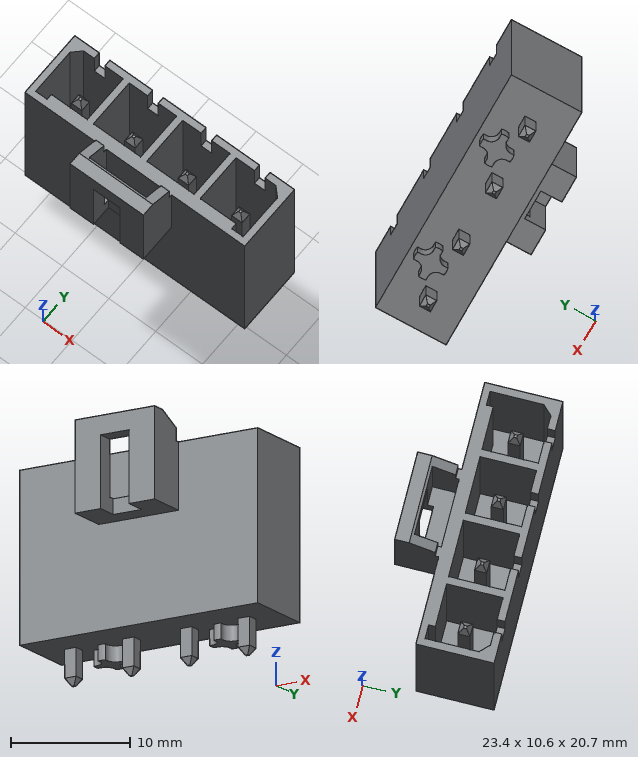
import cadquery as cq
import math


HOUSING_LENGTH = 23.45
HOUSING_HEIGHT = 15.35
HOUSING_BACK = 3.28
HOUSING_FRONT = -3.5

PIN_COUNT = 4
PITCH = 5.7
CAVITY_WIDTH = 5.05
CAVITY_BACK = 2.6
CAVITY_FRONT = -2.27
CAVITY_FLOOR = 3.28
END_CORNER_CUT = 0.8
KEY_WIDTH = 1.22
KEY_DEPTH = 0.59
SLOT_DEPTH = 2.35

PIN_WIDTH = 1.13
PIN_THICKNESS = 1.05
PIN_BOTTOM = -3.2
PIN_TOP = HOUSING_HEIGHT - 2.81
PIN_TIP_LENGTH = 0.65
PIN_TIP_SIZE = 0.25
SLOT_WIDTH = PIN_WIDTH

LATCH_WIDTH = 7.83
LATCH_REACH = 3.82
LATCH_FRONT = HOUSING_FRONT - LATCH_REACH
LATCH_TOP = HOUSING_HEIGHT + 2.18
LATCH_HEIGHT = 8.18
LATCH_BOTTOM = LATCH_TOP - LATCH_HEIGHT
LATCH_FLAT = 1.27
LATCH_SLOPE_DROP = 1.05
LATCH_GAP = 0.3
LATCH_POCKET_WIDTH = 6.07
LATCH_FRONT_WALL = 1.5
LATCH_FLOOR = 1.38
WINDOW_WIDTH = 2.8
WINDOW_DEPTH = 2.02
WINDOW_TOP = LATCH_TOP - 1.71

PEG_SPACING = 2 * PITCH
PEG_Y = 1.34
PEG_RADIUS = 1.5
PEG_HEIGHT = 1.4
PEG_ARM_HALF_WIDTH = 0.35
PEG_SCOOP_RADIUS = 0.8

PIN_POSITIONS = [(i - (PIN_COUNT - 1) / 2) * PITCH for i in range(PIN_COUNT)]


def block(x_range, y_range, z_range):
    """Box between the given limits."""
    (x0, x1), (y0, y1), (z0, z1) = x_range, y_range, z_range
    return cq.Workplane("XY").box(x1 - x0, y1 - y0, z1 - z0, centered=False).translate((x0, y0, z0))


def centred(width, middle=0.0):
    """Limits of a span of the given width about its middle."""
    return (middle - width / 2, middle + width / 2)


def cavity(x):
    """Open-topped cavity around a pin, with the slot through the back wall."""
    depth_range = (CAVITY_FLOOR, HOUSING_HEIGHT)
    space = block(centred(CAVITY_WIDTH, x), (CAVITY_FRONT, CAVITY_BACK), depth_range)

    if x in (PIN_POSITIONS[0], PIN_POSITIONS[-1]):
        side = math.copysign(1, x)
        outer_edges = ">X" if side > 0 else "<X"
        space = space.edges("|Z").edges(">Y").edges(outer_edges).chamfer(END_CORNER_CUT)
        key_middle = x + side * (CAVITY_WIDTH - KEY_WIDTH) / 2
        key = block(centred(KEY_WIDTH, key_middle), (CAVITY_FRONT - KEY_DEPTH, CAVITY_FRONT), depth_range)
        space = space.union(key)

    slot = block(
        centred(SLOT_WIDTH, x),
        (CAVITY_BACK, HOUSING_BACK),
        (HOUSING_HEIGHT - SLOT_DEPTH, HOUSING_HEIGHT),
    )
    return space.union(slot)


def housing():
    """Main block with all its cavities."""
    body = block(centred(HOUSING_LENGTH), (HOUSING_FRONT, HOUSING_BACK), (0, HOUSING_HEIGHT))
    for x in PIN_POSITIONS:
        body = body.cut(cavity(x))
    return body


def latch():
    """Loop on the front face with a sloped top, an open-topped pocket and a window in its front wall."""
    loop = (
        cq.Workplane("YZ")
        .moveTo(HOUSING_FRONT, LATCH_BOTTOM)
        .lineTo(LATCH_FRONT, LATCH_BOTTOM)
        .lineTo(LATCH_FRONT, LATCH_TOP)
        .lineTo(LATCH_FRONT + LATCH_FLAT, LATCH_TOP)
        .lineTo(HOUSING_FRONT - LATCH_GAP, LATCH_TOP - LATCH_SLOPE_DROP)
        .lineTo(HOUSING_FRONT - LATCH_GAP, HOUSING_HEIGHT)
        .lineTo(HOUSING_FRONT, HOUSING_HEIGHT)
        .close()
        .extrude(LATCH_WIDTH / 2, both=True)
    )
    pocket = block(
        centred(LATCH_POCKET_WIDTH),
        (LATCH_FRONT + LATCH_FRONT_WALL, HOUSING_FRONT),
        (LATCH_BOTTOM + LATCH_FLOOR, LATCH_TOP),
    )
    window = block(
        centred(WINDOW_WIDTH),
        (LATCH_FRONT, LATCH_FRONT + WINDOW_DEPTH),
        (LATCH_BOTTOM, WINDOW_TOP),
    )
    return loop.cut(pocket).cut(window)


def pin(x):
    """Rectangular pin with a blunt pyramid at each end."""
    shank_bottom = PIN_BOTTOM + PIN_TIP_LENGTH
    shank_top = PIN_TOP - PIN_TIP_LENGTH
    shank = block(centred(PIN_WIDTH, x), centred(PIN_THICKNESS), (shank_bottom, shank_top))
    for shank_end, tip_end in ((shank_bottom, PIN_BOTTOM), (shank_top, PIN_TOP)):
        tip = (
            cq.Workplane("XY", origin=(x, 0, shank_end))
            .rect(PIN_WIDTH, PIN_THICKNESS)
            .workplane(offset=tip_end - shank_end)
            .rect(PIN_TIP_SIZE, PIN_TIP_SIZE)
            .loft(ruled=True)
        )
        shank = shank.union(tip)
    return shank


def peg(x):
    """Round peg with four scoops that leave a cross with rounded arm ends."""
    scoop_middle = PEG_ARM_HALF_WIDTH + PEG_SCOOP_RADIUS
    cross = cq.Workplane("XY").circle(PEG_RADIUS).extrude(-PEG_HEIGHT)
    corner = (
        cq.Workplane("XY")
        .moveTo(PEG_ARM_HALF_WIDTH, PEG_RADIUS)
        .lineTo(PEG_ARM_HALF_WIDTH, scoop_middle)
        .radiusArc((scoop_middle, PEG_ARM_HALF_WIDTH), -PEG_SCOOP_RADIUS)
        .lineTo(PEG_RADIUS, PEG_ARM_HALF_WIDTH)
        .lineTo(PEG_RADIUS, PEG_RADIUS)
        .close()
        .extrude(-PEG_HEIGHT)
    )
    for quarter in range(4):
        cross = cross.cut(corner.rotate((0, 0, 0), (0, 0, 1), 90 * quarter))
    return cross.translate((x, PEG_Y, 0))


result = housing().union(latch())
for pin_x in PIN_POSITIONS:
    result = result.union(pin(pin_x))
for peg_x in centred(PEG_SPACING):
    result = result.union(peg(peg_x))